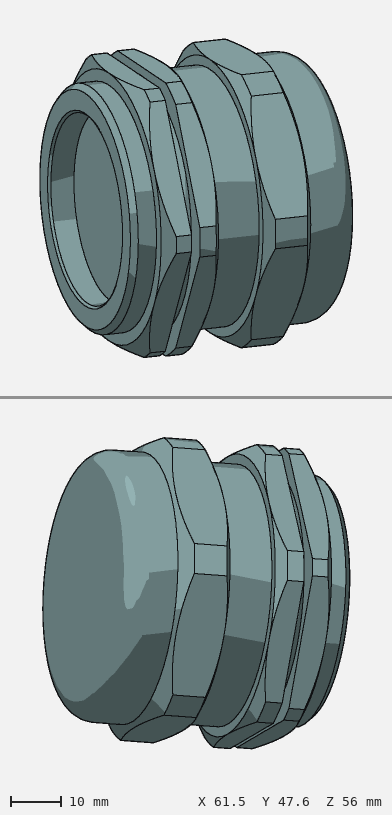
import cadquery as cq
import math


nose_end = 5.1
locknut_end = 10.25
seal_end = 12.05
body_hex_end = 17.1
cap_hex_start = 26.55
cap_hex_end = 37.15
total_length = 47.55

nose_diameter = 50.0
nose_face_diameter = 47.8
nose_chamfer_length = 1.2
seal_ring_diameter = 48.5
seal_cord_diameter = 4.0
seal_centre = 11.55
body_diameter = 52.0
cap_diameter = 54.0
cap_rounding = 4.5

bore_diameter = 38.5
bore_mouth_diameter = 39.5
bore_depth = 5.4
bore_chamfer_length = (bore_mouth_diameter - bore_diameter) / 2

corner_diameter = 61.5
locknut_flats = 54.9
hex_flats = 56.0
chamfer_slope = math.tan(math.radians(30))


def revolve_profile(outline):
    """Turn a closed (radius, Y) outline about the Y axis."""
    return outline.close().revolve(360, (0, 0, 0), (0, 1, 0))


def cylinder(diameter, start, end):
    """Solid cylinder on the Y axis between two places."""
    return (
        cq.Workplane("XZ", origin=(0, start, 0))
        .circle(diameter / 2)
        .extrude(start - end)
    )


def hexagon(flats, start, end, start_face_diameter, end_face_diameter):
    """Hexagon whose corners are turned round and chamfered down to each face diameter."""
    corner_radius = corner_diameter / 2
    start_radius = start_face_diameter / 2
    end_radius = end_face_diameter / 2
    outline = cq.Workplane("XY").moveTo(0, start).lineTo(start_radius, start)
    if start_radius < corner_radius:
        outline = outline.lineTo(corner_radius, start + (corner_radius - start_radius) * chamfer_slope)
    outline = outline.lineTo(corner_radius, end - (corner_radius - end_radius) * chamfer_slope)
    if end_radius < corner_radius:
        outline = outline.lineTo(end_radius, end)
    turned_blank = revolve_profile(outline.lineTo(0, end))
    prism = (
        cq.Workplane("XZ", origin=(0, start, 0))
        .polygon(6, flats / math.cos(math.radians(30)))
        .extrude(start - end)
    )
    return prism.intersect(turned_blank)


def nose():
    """Entry end with a chamfered front edge."""
    return revolve_profile(
        cq.Workplane("XY")
        .lineTo(nose_face_diameter / 2, 0)
        .lineTo(nose_diameter / 2, nose_chamfer_length)
        .lineTo(nose_diameter / 2, nose_end)
        .lineTo(0, nose_end)
    )


def seal():
    """Sealing ring squeezed between locknut and body, with the round bulge of its cord outside."""
    cord_radius = seal_cord_diameter / 2

    def radius_at(place):
        return seal_ring_diameter / 2 + math.sqrt(cord_radius**2 - (place - seal_centre) ** 2)

    return revolve_profile(
        cq.Workplane("XY")
        .moveTo(0, locknut_end)
        .lineTo(radius_at(locknut_end), locknut_end)
        .threePointArc(
            (seal_ring_diameter / 2 + cord_radius, seal_centre),
            (radius_at(seal_end), seal_end),
        )
        .lineTo(0, seal_end)
    )


def cap():
    """Domed cap with a large rounding at its far end."""
    return cylinder(cap_diameter, cap_hex_end, total_length).faces(">Y").edges().fillet(cap_rounding)


def bore():
    """Blind bore with a chamfered mouth."""
    return revolve_profile(
        cq.Workplane("XY")
        .lineTo(bore_mouth_diameter / 2, 0)
        .lineTo(bore_diameter / 2, bore_chamfer_length)
        .lineTo(bore_diameter / 2, bore_depth)
        .lineTo(0, bore_depth)
    )


locknut = hexagon(locknut_flats, nose_end, locknut_end, locknut_flats, corner_diameter)
body_hex = hexagon(hex_flats, seal_end, body_hex_end, corner_diameter, hex_flats)
body = cylinder(body_diameter, body_hex_end, cap_hex_start)
cap_hex = hexagon(hex_flats, cap_hex_start, cap_hex_end, hex_flats, cap_diameter)

result = nose()
for section in (locknut, seal(), body_hex, body, cap_hex, cap()):
    result = result.union(section)
result = result.cut(bore())